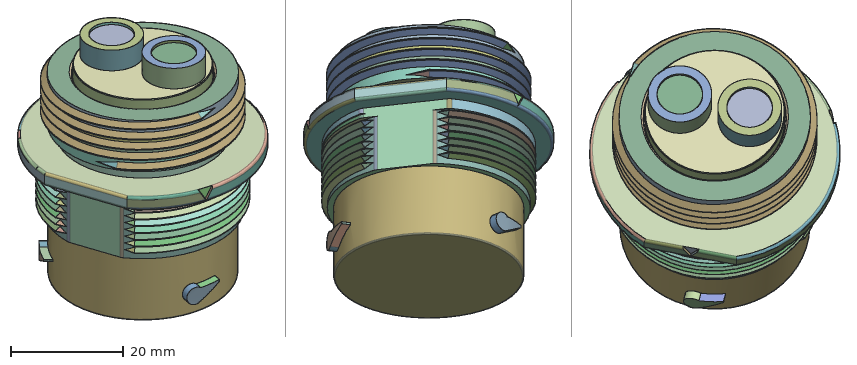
import cadquery as cq
import math

BARREL_TOP = 13.5
COLLAR_BOTTOM = 24.13
FLANGE_BOTTOM = 26.05
FLANGE_TOP = 28.7
NECK_TOP = 30.95
REAR_TOP = 41.57
INSERT_TOP = 43.2
POST_TOP = 47.47

BARREL_R = 16.95
PANEL_ROOT_R = 18.08
COLLAR_R = 19.05
FLANGE_R = 22.3
NECK_R = 15.5
REAR_ROOT_R = 17.05
BARREL_EDGE = 0.25
FLANGE_EDGE = 0.5

PANEL_FLAT_Y = -17.24
PANEL_FLAT_BLEND = 2.0
FLANGE_FLAT_WIDTH = 41.3

INSERT_R = 12.5
INSERT_CHAMFER = 0.15
BORE_R = 12.75
BORE_CHAMFER = 0.37
BORE_DEPTH = 1.0
POST_X = 6.36
POST_R = 5.67
POST_RECESS_R = 4.05
POST_RECESS_DEPTH = 0.5

PANEL_PITCH = 25.4 / 18
PANEL_CREST_R = 19.1
PANEL_CREST_FLAT = 0.1
PANEL_Z_AT_ZERO = 14.09
PANEL_START = 153
PANEL_TURNS = 8
PANEL_FLAT_ANGLE = 270
PANEL_GAP = 19
PANEL_FADE = 6
REAR_PITCH = 25.4 / 12
REAR_CREST_R = 18.25
REAR_CREST_FLAT = 0.2
REAR_Z_AT_ZERO = 32.34
REAR_START = -90
REAR_END = 4 * 360 - 11
REAR_FADE = 14.5
FADE_TIP_SCALE = 0.05
THREAD_EMBED = 0.08
THREAD_HALF_ANGLE = 30

FLAT_NOTCH_ANGLE = 90
INDEX_ANGLES = (90, 210, 330)
PIN_R = 1.75
PIN_Z = 4.51
PIN_OUTER_R = 18.5
PIN_TAIL_LENGTH = 5.4
PIN_TAIL_TOP = 1.36
PIN_TAIL_TIP_HEIGHT = 0.4
MARK_WIDTH = 2.85
MARK_HEIGHT = 2.4
MARK_DEPTH = 0.5


def cylinder(radius, bottom, top):
    return cq.Workplane("XY").workplane(offset=bottom).circle(radius).extrude(top - bottom)


def block(width, depth, bottom, top):
    box = cq.Workplane("XY").workplane(offset=bottom).rect(width, depth)
    return box.extrude(top - bottom)


def panel_section(radius, bottom, top):
    """Disc with one flat on the -Y side, blended into the round."""
    reach = 2 * radius
    keep = block(reach, reach, bottom, top).translate((0, PANEL_FLAT_Y + radius, 0))
    section = cylinder(radius, bottom, top).intersect(keep)
    margin = PANEL_ROOT_R / 100
    corners = cq.selectors.BoxSelector(
        (-radius, PANEL_FLAT_Y - margin, bottom), (radius, PANEL_FLAT_Y + margin, top)
    )
    return section.edges("|Z").edges(corners).fillet(PANEL_FLAT_BLEND)


def flange():
    plate = cylinder(FLANGE_R, FLANGE_BOTTOM, FLANGE_TOP)
    plate = plate.intersect(block(2 * FLANGE_R, FLANGE_FLAT_WIDTH, FLANGE_BOTTOM, FLANGE_TOP))
    return plate.faces("<Z or >Z").edges().fillet(FLANGE_EDGE)


def stepped_body():
    barrel = cylinder(BARREL_R, 0, BARREL_TOP).faces("<Z").edges().fillet(BARREL_EDGE)
    body = barrel.union(panel_section(PANEL_ROOT_R, BARREL_TOP, COLLAR_BOTTOM))
    body = body.union(panel_section(COLLAR_R, COLLAR_BOTTOM, FLANGE_BOTTOM))
    body = body.union(flange())
    body = body.union(cylinder(NECK_R, FLANGE_TOP, NECK_TOP))
    return body.union(cylinder(REAR_ROOT_R, NECK_TOP, REAR_TOP))


def contact_insert(body):
    floor = REAR_TOP - BORE_DEPTH
    bore = cylinder(BORE_R, floor, REAR_TOP)
    mouth = cq.Workplane(cq.Solid.makeCone(
        BORE_R, BORE_R + BORE_CHAMFER, BORE_CHAMFER, cq.Vector(0, 0, REAR_TOP - BORE_CHAMFER)
    ))
    insert = cylinder(INSERT_R, floor, INSERT_TOP).faces(">Z").edges().chamfer(INSERT_CHAMFER)
    body = body.cut(bore.union(mouth)).union(insert)
    for x in (-POST_X, POST_X):
        post = cylinder(POST_R, INSERT_TOP - INSERT_CHAMFER, POST_TOP)
        post = post.cut(cylinder(POST_RECESS_R, POST_TOP - POST_RECESS_DEPTH, POST_TOP))
        body = body.union(post.translate((x, 0, 0)))
    return body


def thread_ridge(root_r, crest_r, crest_flat, pitch, z_at_zero, start, end, fade_angle):
    """Right-hand V ridge, footed just inside the root cylinder and fading out at both ends."""
    foot_r = root_r - THREAD_EMBED

    def profile(angle, scale=1.0):
        z = z_at_zero + pitch * angle / 360
        depth = (crest_r - foot_r) * scale
        crest_half = crest_flat / 2 * scale
        foot_half = crest_half + depth * math.tan(math.radians(THREAD_HALF_ANGLE))
        corners = [
            cq.Vector(foot_r, 0, z - foot_half),
            cq.Vector(foot_r + depth, 0, z - crest_half),
            cq.Vector(foot_r + depth, 0, z + crest_half),
            cq.Vector(foot_r, 0, z + foot_half),
        ]
        wire = cq.Wire.makePolygon(corners, close=True)
        return wire.rotate(cq.Vector(0, 0, 0), cq.Vector(0, 0, 1), angle)

    def fade(full_angle, tip_angle):
        return cq.Solid.makeLoft([profile(full_angle), profile(tip_angle, FADE_TIP_SCALE)], True)

    full_start = start + fade_angle
    full_end = end - fade_angle
    rise = pitch * (full_end - full_start) / 360
    path = cq.Wire.makeHelix(pitch, rise, root_r)
    path = path.rotate(cq.Vector(0, 0, 0), cq.Vector(0, 0, 1), full_start)
    path = path.translate(cq.Vector(0, 0, z_at_zero + pitch * full_start / 360))
    ridge = cq.Workplane(cq.Solid.sweep(profile(full_start), [], path, True, True))
    ridge = ridge.union(cq.Workplane(fade(full_start, start)))
    return ridge.union(cq.Workplane(fade(full_end, end)))


def rear_thread():
    return thread_ridge(
        REAR_ROOT_R, REAR_CREST_R, REAR_CREST_FLAT, REAR_PITCH,
        REAR_Z_AT_ZERO, REAR_START, REAR_END, REAR_FADE,
    )


def panel_thread_turns():
    """One ridge per turn, each fading out on both sides of the flat."""
    turns = []
    for turn in range(PANEL_TURNS):
        flat_angle = PANEL_FLAT_ANGLE + 360 * turn
        start = PANEL_START if turn == 0 else flat_angle - 360 + PANEL_GAP
        turns.append(thread_ridge(
            PANEL_ROOT_R, PANEL_CREST_R, PANEL_CREST_FLAT, PANEL_PITCH,
            PANEL_Z_AT_ZERO, start, flat_angle - PANEL_GAP, PANEL_FADE,
        ))
    return turns


def bayonet_pin():
    """Teardrop pin pointing along +X, its tail trailing toward +Y."""
    tip_bottom = PIN_TAIL_TOP - PIN_TAIL_TIP_HEIGHT
    tip_distance = math.hypot(PIN_TAIL_LENGTH, tip_bottom)
    tangent_angle = math.atan2(tip_bottom, PIN_TAIL_LENGTH) - math.acos(PIN_R / tip_distance)
    tangent = (PIN_R * math.cos(tangent_angle), PIN_R * math.sin(tangent_angle))
    shoulder = (math.sqrt(PIN_R**2 - PIN_TAIL_TOP**2), PIN_TAIL_TOP)
    outline = (
        cq.Workplane("YZ")
        .moveTo(*tangent)
        .lineTo(PIN_TAIL_LENGTH, tip_bottom)
        .lineTo(PIN_TAIL_LENGTH, PIN_TAIL_TOP)
        .lineTo(*shoulder)
        .threePointArc((-PIN_R, 0), tangent)
        .close()
    )
    pin = outline.extrude(FLANGE_R).translate((0, 0, PIN_Z))
    root = cylinder(BARREL_R - PIN_R, 0, BARREL_TOP)
    return pin.intersect(cylinder(PIN_OUTER_R, 0, BARREL_TOP)).cut(root)


def index_notch(face_distance):
    """Triangular notch pointing down in a rim face at this distance along +X."""
    triangle = cq.Workplane("YZ").workplane(offset=face_distance - MARK_DEPTH).polyline([
        (-MARK_WIDTH / 2, FLANGE_TOP),
        (MARK_WIDTH / 2, FLANGE_TOP),
        (0, FLANGE_TOP - MARK_HEIGHT),
    ])
    return triangle.close().extrude(2 * MARK_DEPTH)


def turned(shape, angle):
    return shape.rotate((0, 0, 0), (0, 0, 1), angle)


result = contact_insert(stepped_body())
for angle in INDEX_ANGLES:
    rim_distance = FLANGE_FLAT_WIDTH / 2 if angle == FLAT_NOTCH_ANGLE else FLANGE_R
    result = result.union(turned(bayonet_pin(), angle))
    result = result.cut(turned(index_notch(rim_distance), angle))
result = result.union(rear_thread())
for ridge in panel_thread_turns():
    result = result.union(ridge)